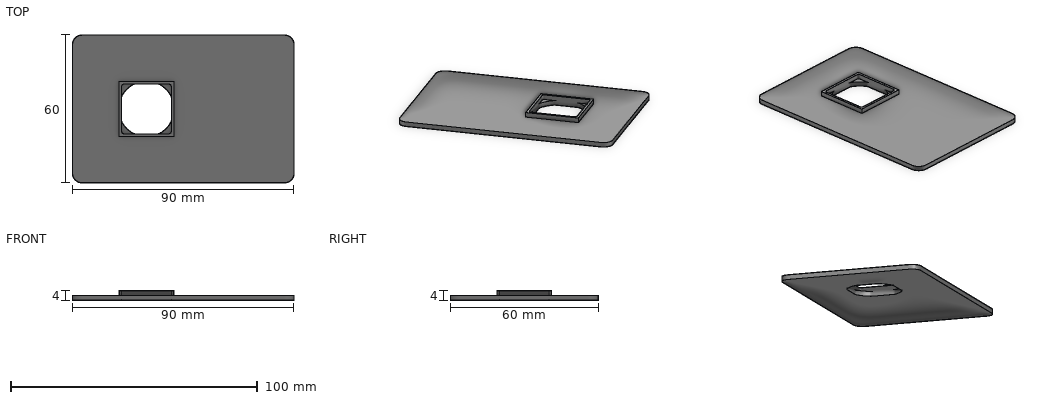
import cadquery as cq

plate_length = 90.0
plate_width = 60.0
plate_thickness = 2.0
plate_corner_radius = 4.0

frame_center_x = -14.9
frame_size = 22.2
frame_height = 2.0

opening_size = 20.2
opening_corner_radius = 1.0
plate_hole_radius = 11.25
hole_edge_radius = 2.0


def rounded_block(length, width, height, corner_radius):
    """Block standing on Z = 0 with rounded vertical edges."""
    return cq.Workplane("XY").rect(length, width).extrude(height).edges("|Z").fillet(corner_radius)


def plate_hole():
    """Circle trimmed by the square opening, leaving a shelf in each corner."""
    square = cq.Workplane("XY").rect(opening_size, opening_size).extrude(plate_thickness)
    disc = cq.Workplane("XY").circle(plate_hole_radius).extrude(plate_thickness)
    return square.intersect(disc).edges("|Z").fillet(hole_edge_radius)


def frame():
    """Square rim with sharp outer corners and rounded inner corners."""
    outside = cq.Workplane("XY").rect(frame_size, frame_size).extrude(frame_height)
    inside = rounded_block(opening_size, opening_size, frame_height, opening_corner_radius)
    return outside.cut(inside)


plate = rounded_block(plate_length, plate_width, plate_thickness, plate_corner_radius)
plate = plate.cut(plate_hole().translate((frame_center_x, 0, 0)))
result = plate.union(frame().translate((frame_center_x, 0, plate_thickness)))